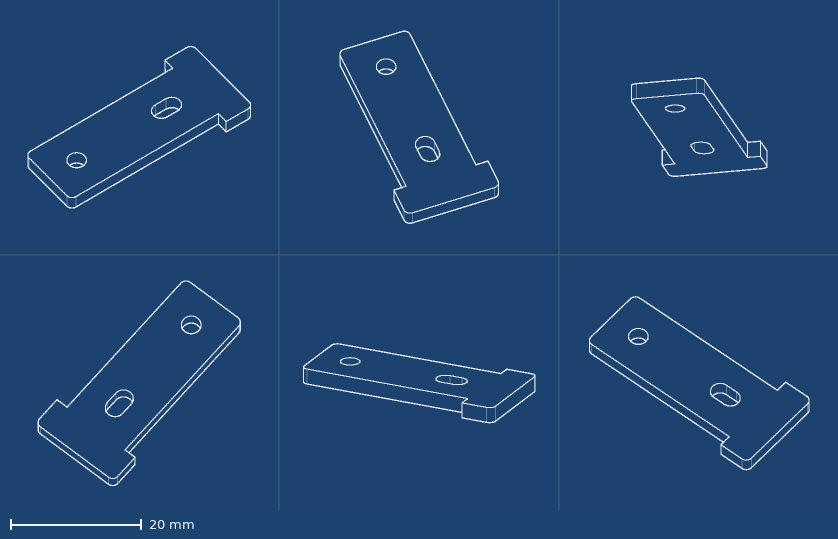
import cadquery as cq

length = 33.6
thickness = 2.5
corner_radius = 1.0

head_width = 15.5
head_length = 5.2
shank_width = 11.5

hole_diameter = 3.0
slot_length = 5.0
hole_from_shank_end = 5.5
hole_to_slot = 17.3

head_end_y = length / 2
shank_end_y = -length / 2
hole_y = shank_end_y + hole_from_shank_end
slot_y = hole_y + hole_to_slot


def rounded_bar(width, bar_length, center_y, rounded_edges):
    """Flat bar on the XY plane with the chosen vertical edges rounded."""
    return (
        cq.Workplane("XY")
        .center(0, center_y)
        .rect(width, bar_length)
        .extrude(thickness)
        .edges("|Z")
        .edges(rounded_edges)
        .fillet(corner_radius)
    )


shank_length = length - head_length
head = rounded_bar(head_width, head_length, head_end_y - head_length / 2, ">Y")
shank = rounded_bar(shank_width, shank_length, shank_end_y + shank_length / 2, "<Y")
plate = head.union(shank)

hole = cq.Workplane("XY").center(0, hole_y).circle(hole_diameter / 2).extrude(thickness)
slot = cq.Workplane("XY").center(0, slot_y).slot2D(slot_length, hole_diameter, 90).extrude(thickness)

result = plate.cut(hole).cut(slot)